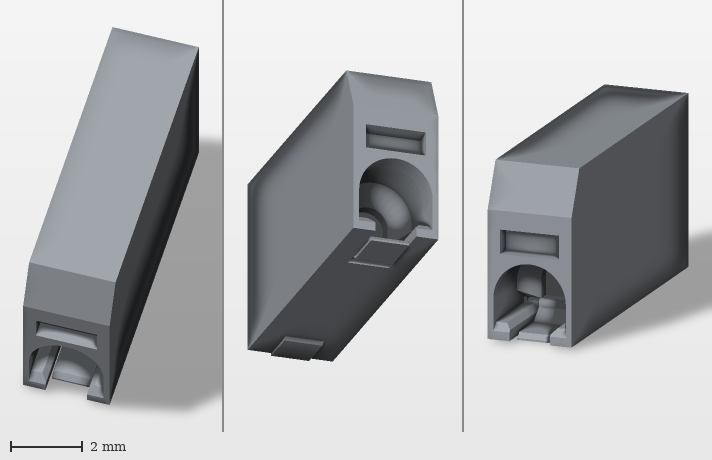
import cadquery as cq

width = 2.5
length = 9.0
height = 5.02
bevel_depth = 0.6
bevel_bottom = 3.74

window_width = 1.76
window_bottom = 2.49
window_front_top = 3.195
window_rear_top = 3.12
window_depth = 0.45

arch_centre = 1.2
arch_radius = 1.08
bore_radius = 0.56
lead_in_start = 1.8
lead_in_end = 2.34
bore_end = 2.7
bore_floor = 0.65
shelf_top = 0.96

floor_top = 0.46
lip_height = 0.25
lip_run = 0.225
floor_slot_width = 1.21
floor_chamfer = 0.15
ramp_width = 1.98
ramp_start = 0.51

terminal_width = 2 * bore_radius
pad_drop = 0.08
front_pad_start = 0.49
front_pad_end = 1.845
front_tip_height = -0.03
front_tip_run = 0.15
pad_top = 0.11
leg_slope_start = 0.19
leg_slope_end = 0.43
leg_slope_run = 0.32
leg_underside = 0.14
rear_pad_start = 7.74
rear_pad_run = 0.135


def side_prism(points, prism_width):
    """Extrude a (y, z) outline evenly about x = 0."""
    return cq.Workplane("YZ").polyline(points).close().extrude(prism_width / 2, both=True)


def arch_wire(radius, floor, y):
    """Round-topped outline on the plane at depth y."""
    return (
        cq.Workplane("XZ", origin=(0, y, 0))
        .moveTo(-radius, floor)
        .lineTo(-radius, arch_centre)
        .threePointArc((0, arch_centre + radius), (radius, arch_centre))
        .lineTo(radius, floor)
        .close()
    )


def make_housing():
    return side_prism(
        [(0, 0), (0, bevel_bottom), (bevel_depth, height), (length, height), (length, 0)],
        width,
    )


def make_window():
    return side_prism(
        [
            (0, window_bottom),
            (0, window_front_top),
            (window_depth, window_rear_top),
            (window_depth, window_bottom),
        ],
        window_width,
    )


def make_lead_in():
    """Tapered arch whose lower edge follows the sloping shelf."""
    taper = cq.Solid.makeLoft(
        [
            arch_wire(arch_radius, bore_floor, lead_in_start).wire().val(),
            arch_wire(bore_radius, bore_floor, lead_in_end).wire().val(),
        ],
        True,
    )
    return cq.Workplane(taper)


def make_entry():
    mouth = arch_wire(arch_radius, floor_top, 0).extrude(-lead_in_start)
    bore = arch_wire(bore_radius, bore_floor, lead_in_end).extrude(lead_in_end - bore_end)
    room_below_shelf = side_prism(
        [
            (lead_in_start, floor_top),
            (lead_in_start, shelf_top),
            (lead_in_end, bore_floor),
            (lead_in_end, floor_top),
        ],
        2 * arch_radius,
    )
    ramp_space = side_prism(
        [(lead_in_end, ramp_start), (lead_in_end, bore_floor), (bore_end, bore_floor)],
        ramp_width,
    )
    return mouth.union(make_lead_in()).union(room_below_shelf).union(bore).union(ramp_space)


def make_floor_cuts():
    """Sloping front lip and chamfered slot that opens the floor downwards."""
    lip = side_prism([(0, lip_height), (0, floor_top), (lip_run, floor_top)], 2 * arch_radius)
    slot_half = floor_slot_width / 2
    chamfer_bottom = floor_top - floor_chamfer
    slot = (
        cq.Workplane("XZ")
        .polyline(
            [
                (-slot_half, 0),
                (-slot_half, chamfer_bottom),
                (-slot_half - floor_chamfer, floor_top),
                (slot_half + floor_chamfer, floor_top),
                (slot_half, chamfer_bottom),
                (slot_half, 0),
            ]
        )
        .close()
        .extrude(-lead_in_end)
    )
    return lip.union(slot)


def make_front_terminal():
    leg_front = front_pad_end + leg_slope_run
    return side_prism(
        [
            (front_pad_start, -pad_drop),
            (front_pad_start, front_tip_height),
            (front_pad_start + front_tip_run, pad_top),
            (front_pad_end - leg_slope_start + pad_top, pad_top),
            (front_pad_end, leg_slope_start),
            (leg_front, leg_slope_end),
            (leg_front, bore_floor),
            (lead_in_end, bore_floor),
            (lead_in_end, leg_underside),
            (leg_front, leg_underside),
            (front_pad_end, -pad_drop),
        ],
        terminal_width,
    )


def make_rear_terminal():
    return side_prism(
        [
            (rear_pad_start, 0),
            (rear_pad_start + rear_pad_run, -pad_drop),
            (length, -pad_drop),
            (length, 0),
        ],
        terminal_width,
    )


housing = make_housing().cut(make_window()).cut(make_entry()).cut(make_floor_cuts())
result = housing.union(make_front_terminal()).union(make_rear_terminal())